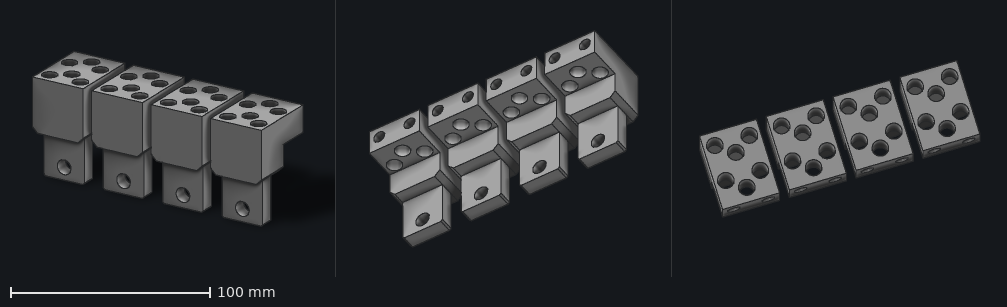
import cadquery as cq

terminal_count = 4
row_length = 135.0
total_height = 55.0

block_width = 30.0
block_depth = 40.0
block_height = block_width
arm_thickness = block_height / 2
column_depth = 21.2
pitch = (row_length - block_width) / (terminal_count - 1)

lug_width = 23.9
column_chamfer = (block_width - lug_width) / 2
lug_thickness = 8.0
lug_front_setback = 6.1
lug_height = total_height - block_height
lug_chamfer = 1.0
lug_hole_diameter = 8.0
lug_hole_height = 7.0

screw_diameter = 8.2
screw_half_spacing = 9.0
triangle_height = 6.5
triangle_spacing = 18.9
rear_apex_setback = 7.5
blind_screw_depth = arm_thickness

wire_bore_diameter = 6.5
wire_bore_drop = 6.6
wire_bore_height = total_height - wire_bore_drop

arm_bottom = total_height - arm_thickness
rear_outer_y = block_depth - rear_apex_setback - triangle_height
front_outer_y = rear_outer_y - triangle_spacing


def box(width, depth, height, front_y, bottom_z):
    """Box centred on X, with its front face and underside at the given places."""
    base = cq.Workplane("XY", origin=(0, front_y, bottom_z))
    return base.box(width, depth, height, centered=(True, False, False))


def block():
    column = box(block_width, column_depth, block_height, 0, lug_height)
    column = column.faces("<Z").edges("|Y").chamfer(column_chamfer)
    arm = box(block_width, block_depth, arm_thickness, 0, arm_bottom)
    return column.union(arm)


def lug():
    blade = box(lug_width, lug_thickness, lug_height, lug_front_setback, 0)
    blade = blade.faces("<Z").edges("|Y").chamfer(lug_chamfer)
    hole = (
        cq.Workplane("XZ", origin=(0, 0, lug_hole_height))
        .circle(lug_hole_diameter / 2)
        .extrude(-block_depth)
    )
    return blade.cut(hole)


def screw_triangle(outer_y, depth):
    """Three vertical holes: an outer pair at outer_y and an apex behind it."""
    centres = [
        (-screw_half_spacing, outer_y),
        (screw_half_spacing, outer_y),
        (0, outer_y + triangle_height),
    ]
    return (
        cq.Workplane("XY", origin=(0, 0, total_height))
        .pushPoints(centres)
        .circle(screw_diameter / 2)
        .extrude(-depth)
    )


def wire_bores():
    return (
        cq.Workplane("XZ", origin=(0, block_depth, wire_bore_height))
        .pushPoints([(-screw_half_spacing, 0), (screw_half_spacing, 0)])
        .circle(wire_bore_diameter / 2)
        .extrude(block_depth - rear_outer_y)
    )


def terminal():
    return (
        block()
        .union(lug())
        .cut(screw_triangle(rear_outer_y, arm_thickness))
        .cut(screw_triangle(front_outer_y, blind_screw_depth))
        .cut(wire_bores())
    )


terminals = []
for index in range(terminal_count):
    terminals.append(terminal().translate((index * pitch, 0, 0)).val())

result = cq.Compound.makeCompound(terminals)